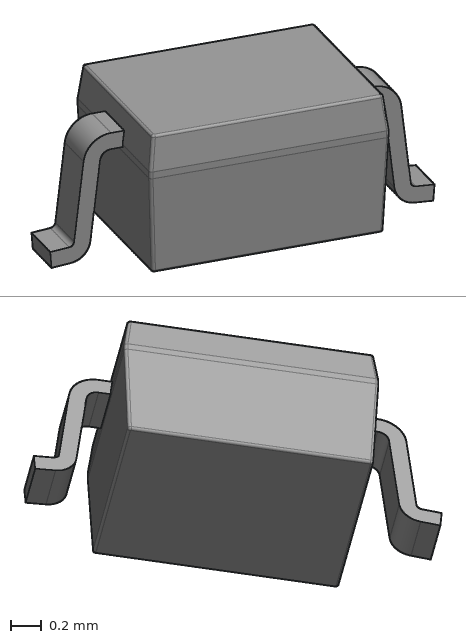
import cadquery as cq
import math

body_width = 1.25
body_length = 1.697
body_bottom = 0.057
body_top = 1.05
waist_bottom = 0.753
waist_top = 0.802
body_inset = 0.03
corner_radius = 0.022
rim_radius = 0.02

tip_y = 1.36
lead_width = 0.325
lead_thickness = 0.117
lead_top = 0.9
lead_root_y = 0.68
shoulder_y = 1.105
leg_lean = math.radians(6.7)
foot_slope = math.radians(4.5)
shoulder_inner_radius = 0.08
ankle_inner_radius = 0.038


def body_section(inset):
    """Rounded rectangle of the body, shrunk by the inset on every side."""
    return (
        cq.Sketch()
        .rect(body_width - 2 * inset, body_length - 2 * inset)
        .vertices()
        .fillet(corner_radius)
    )


def tapered_half(waist_z, end_z):
    """Body half that narrows from the waist to its rounded end face."""
    upright = cq.Vector(0, 0, 1)
    half = (
        cq.Workplane("XY")
        .placeSketch(
            body_section(0).moved(cq.Location(upright * waist_z)),
            body_section(body_inset).moved(cq.Location(upright * end_z)),
        )
        .loft(ruled=True)
    )
    end_face = ">Z" if end_z > waist_z else "<Z"
    return half.faces(end_face).edges().fillet(rim_radius)


def make_body():
    """Straight waist band with tapered halves above and below."""
    waist = (
        cq.Workplane("XY", origin=(0, 0, waist_bottom))
        .placeSketch(body_section(0))
        .extrude(waist_top - waist_bottom)
    )
    upper = tapered_half(waist_top, body_top)
    lower = tapered_half(waist_bottom, body_bottom)
    return waist.union(upper).union(lower)


def bend_corners(upper_face_z, leg_point, foot_point):
    """Corners where a leg face meets a horizontal face and a foot face."""
    leg_y, leg_z = leg_point
    foot_y, foot_z = foot_point
    lean = math.tan(leg_lean)
    slope = math.tan(foot_slope)
    shoulder = (leg_y + (leg_z - upper_face_z) * lean, upper_face_z)
    ankle_z = (foot_z + (foot_y - leg_y - leg_z * lean) * slope) / (1 - lean * slope)
    ankle = (leg_y + (leg_z - ankle_z) * lean, ankle_z)
    return shoulder, ankle


def make_lead():
    """The lead on the +Y side, its foot resting on Z = 0 at the tip."""
    tip_upper = (tip_y, lead_thickness * math.cos(foot_slope))
    tip_lower = (tip_y - lead_thickness * math.sin(foot_slope), 0)
    lead_bottom = lead_top - lead_thickness
    outer_leg_point = (shoulder_y, lead_top)
    inner_leg_point = (
        shoulder_y - lead_thickness * math.cos(leg_lean),
        lead_top - lead_thickness * math.sin(leg_lean),
    )
    outer_shoulder, outer_ankle = bend_corners(lead_top, outer_leg_point, tip_upper)
    inner_shoulder, inner_ankle = bend_corners(lead_bottom, inner_leg_point, tip_lower)

    lead = (
        cq.Workplane("YZ")
        .polyline([
            (lead_root_y, lead_top),
            outer_shoulder,
            outer_ankle,
            tip_upper,
            tip_lower,
            inner_ankle,
            inner_shoulder,
            (lead_root_y, lead_bottom),
        ])
        .close()
        .extrude(lead_width / 2, both=True)
    )
    bends = [
        (outer_shoulder, shoulder_inner_radius + lead_thickness),
        (inner_shoulder, shoulder_inner_radius),
        (outer_ankle, ankle_inner_radius),
        (inner_ankle, ankle_inner_radius + lead_thickness),
    ]
    for (corner_y, corner_z), radius in bends:
        corner = (0, corner_y, corner_z)
        lead = lead.edges(cq.selectors.NearestToPointSelector(corner)).fillet(radius)
    return lead


lead = make_lead()
result = make_body().union(lead).union(lead.mirror("XZ"))